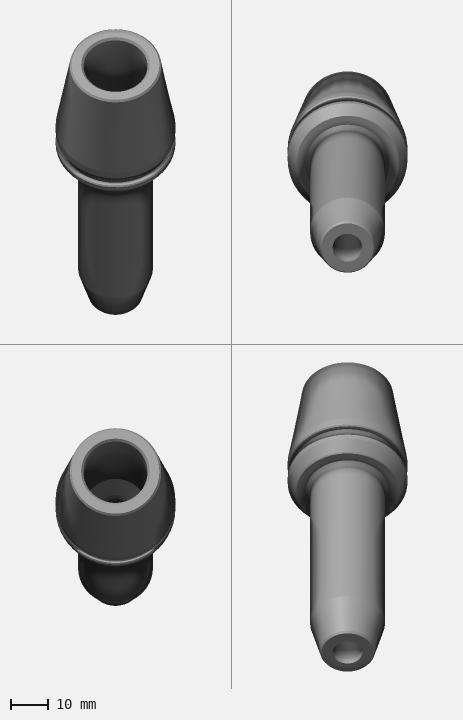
import cadquery as cq
import math

total_height = 101.6
head_diameter = 31.9
groove_diameter = 29.3
shank_diameter = 19.9
bore_diameter = 17.1
bore_mouth_diameter = 18.3
seat_diameter = 9.4
hole_diameter = 7.9
top_diameter = 24.4
shoulder_diameter = 27.2
neck_diameter = 22.3
tip_diameter = 14.6

tip_taper_top = 11.4
shank_top = 62.1
shoulder_bottom = 63.6
lower_land_bottom = 67.0
groove_bottom = 68.8
groove_top = 72.1
head_taper_bottom = 74.9

tip_chamfer_height = 0.6
tip_chamfer_width = 0.4
top_chamfer = 0.5
land_chamfer = 0.3
shoulder_chamfer = 0.3

bore_floor_height = 66.0
floor_slope_angle = 31.0


def outer_body():
    """Solid outer shape: tapered tip, shank, grooved collar and tapered head."""
    head_radius = head_diameter / 2
    profile = [
        (0, 0),
        (tip_diameter / 2 - tip_chamfer_width, 0),
        (tip_diameter / 2, tip_chamfer_height),
        (shank_diameter / 2, tip_taper_top),
        (shank_diameter / 2, shank_top),
        (neck_diameter / 2, shoulder_bottom),
        (shoulder_diameter / 2, shoulder_bottom),
        (shoulder_diameter / 2 + shoulder_chamfer, shoulder_bottom + shoulder_chamfer),
        (head_radius, lower_land_bottom),
        (head_radius, groove_bottom - land_chamfer),
        (head_radius - land_chamfer, groove_bottom),
        (groove_diameter / 2, groove_bottom),
        (groove_diameter / 2, groove_top),
        (head_radius - land_chamfer, groove_top),
        (head_radius, groove_top + land_chamfer),
        (head_radius, head_taper_bottom),
        (top_diameter / 2, total_height - top_chamfer),
        (top_diameter / 2 - top_chamfer, total_height),
        (0, total_height),
    ]
    return revolve_profile(profile)


def bore():
    """Stepped through passage: chamfered mouth, wide bore, conical floor and small hole."""
    floor_drop = (bore_diameter - seat_diameter) / 2 * math.tan(math.radians(floor_slope_angle))
    seat_height = bore_floor_height - floor_drop
    seat_chamfer = (seat_diameter - hole_diameter) / 2
    mouth_chamfer = (bore_mouth_diameter - bore_diameter) / 2
    profile = [
        (0, 0),
        (hole_diameter / 2, 0),
        (hole_diameter / 2, seat_height - seat_chamfer),
        (seat_diameter / 2, seat_height),
        (bore_diameter / 2, bore_floor_height),
        (bore_diameter / 2, total_height - mouth_chamfer),
        (bore_mouth_diameter / 2, total_height),
        (0, total_height),
    ]
    return revolve_profile(profile)


def revolve_profile(points):
    """Turn a closed (radius, height) outline about the Z axis."""
    return cq.Workplane("XZ").polyline(points).close().revolve(360, (0, 0, 0), (0, 1, 0))


result = outer_body().cut(bore())